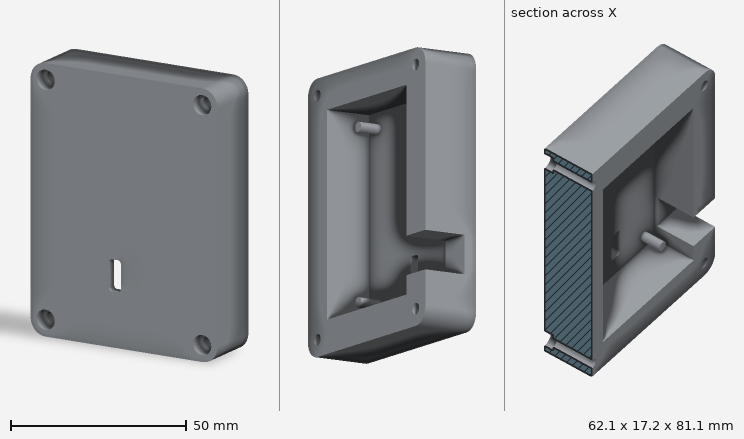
import cadquery as cq

width = 62.1
depth = 17.2
height = 81.1
corner_radius = 5.0

frame_thickness = 10.0
plate_thickness = 3.0
cavity_width = width - 2 * frame_thickness
cavity_height = height - 2 * frame_thickness

screw_diameter = 3.4
screw_head_diameter = 6.0
screw_head_depth = 3.1

pin_diameter = 3.0
pin_inset = 5.0
pin_top = 9.8

notch_height = 11.5
notch_center_z = -19.17
notch_front = 4.0

window_width = 4.0
window_height = 9.5
window_corner_radius = 1.0
window_center_x = -3.05
window_center_z = -19.2

front_y = -depth / 2
back_y = depth / 2


def plane_at(distance):
    """Workplane parallel to the front face, facing +Y, at a distance behind it.

    Its local axes are -X and +Z.
    """
    return cq.Workplane(cq.Plane((0, front_y + distance, 0), xDir=(-1, 0, 0), normal=(0, 1, 0)))


def corner_points(span_x, span_z):
    """Four corners of a centered rectangle."""
    return [(sx * span_x / 2, sz * span_z / 2) for sx in (-1, 1) for sz in (-1, 1)]


def make_block():
    return cq.Workplane("XY").box(width, depth, height).edges("|Y").fillet(corner_radius)


def make_cavity():
    return plane_at(plate_thickness).rect(cavity_width, cavity_height).extrude(depth - plate_thickness)


def make_pins():
    points = corner_points(cavity_width - 2 * pin_inset, cavity_height - 2 * pin_inset)
    length = pin_top - plate_thickness
    return plane_at(plate_thickness).pushPoints(points).circle(pin_diameter / 2).extrude(length)


def make_screw_holes():
    points = corner_points(width - 2 * corner_radius, height - 2 * corner_radius)
    shanks = plane_at(0).pushPoints(points).circle(screw_diameter / 2).extrude(depth)
    heads = plane_at(0).pushPoints(points).circle(screw_head_diameter / 2).extrude(screw_head_depth)
    return shanks.union(heads)


def make_notch():
    notch_depth = depth - notch_front
    center = (-width / 2 + frame_thickness / 2, back_y - notch_depth / 2, notch_center_z)
    return cq.Workplane("XY").box(frame_thickness, notch_depth, notch_height).translate(center)


def make_window():
    center = (window_center_x, front_y + plate_thickness / 2, window_center_z)
    window = cq.Workplane("XY").box(window_width, plate_thickness, window_height)
    return window.edges("|Y").fillet(window_corner_radius).translate(center)


result = (
    make_block()
    .cut(make_cavity())
    .union(make_pins())
    .cut(make_screw_holes())
    .cut(make_notch())
    .cut(make_window())
)